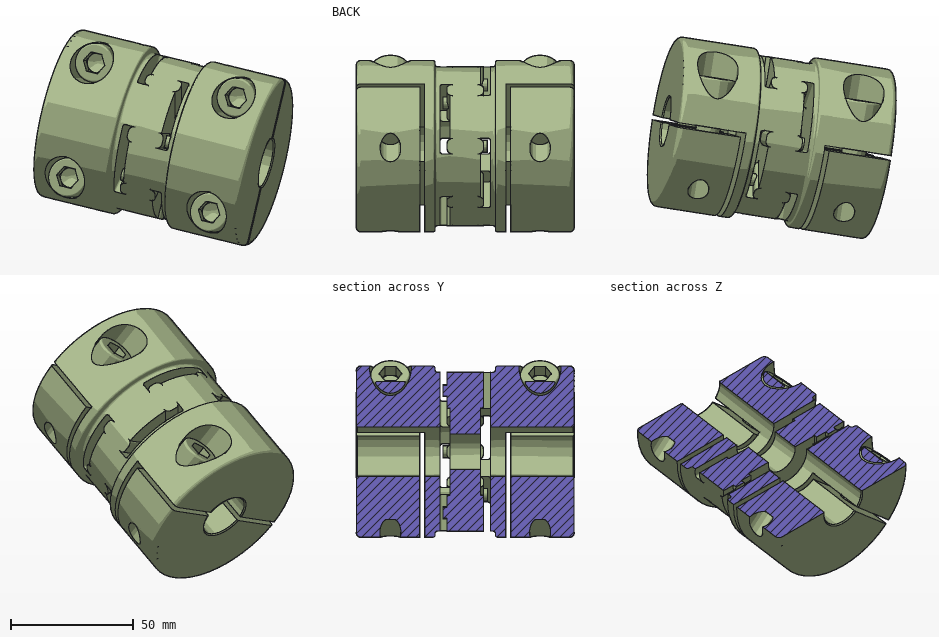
import cadquery as cq
import math

length = 89.0
mid_x = length / 2
hub_dia = 70.0
hub_length = 32.2
middle_dia = 65.0
rim_fillet = 2.0
shoulder_fillet = 0.9
hub_bore = 20.0
bore_chamfer = 0.5
middle_bore = 14.5

clamp_tilt = 45.0
slit_width = 2.0
cap_length = 26.0
cross_cut_width = 2.0

screw_x = 14.0
screw_offset = 24.0
screw_dia = 10.0
clearance_dia = 10.4
thread_core_dia = 8.4
pocket_dia = 17.0
head_dia = 16.0
head_top = 21.0
head_height = screw_dia
head_fillet = 0.9
screw_length = 30.0
socket_flats = 8.0
socket_depth = 5.0
socket_tip_depth = 2.0
head_seat = head_top - head_height

gap_start = 34.3
boss_face = 37.0
window_floor = 38.3
boss_width = 6.3
boss_band = (-boss_width / 2, boss_width / 2)
boss_fillet = 2.2
boss_base = boss_face + boss_fillet
gap_corner = 1.0
cavity_dia = 35.6
slot_inner_radius = 16.9
pin_dia = 5.0
pin_circle_radius = 24.9
pin_start = 35.4
window_pitch = 90
window_angle = 45

cut_reach = hub_dia


def cylinder_x(diameter, start, end):
    """Cylinder along the shaft axis."""
    return cq.Workplane("YZ", origin=(start, 0, 0)).circle(diameter / 2).extrude(end - start)


def box_between(x_range, y_range, z_range):
    """Box given by its limits along each axis."""
    size = [high - low for low, high in (x_range, y_range, z_range)]
    corner = (x_range[0], y_range[0], z_range[0])
    return cq.Workplane("XY").box(*size, centered=False).translate(corner)


def turn(shape, angle):
    """Rotate about the shaft axis."""
    return shape.rotate((0, 0, 0), (1, 0, 0), angle)


def to_far_end(shape):
    """Mirror a feature of the near half to the far half."""
    return shape.mirror("YZ", (mid_x, 0, 0))


def turned_blank():
    """Outer body with a bore in each hub and a smaller one in the middle."""
    body = cylinder_x(hub_dia, 0, length)
    waste = cylinder_x(2 * hub_dia, hub_length, length - hub_length)
    body = body.cut(waste.cut(cylinder_x(middle_dia, hub_length, length - hub_length)))
    ends = "<X or >X"
    shoulders = "<X[1] or >X[1]"
    body = body.faces(ends).edges().fillet(rim_fillet)
    body = body.faces("|X").faces(shoulders).edges().fillet(shoulder_fillet)
    hub_hole = cylinder_x(hub_bore, 0, gap_start)
    body = body.cut(hub_hole).cut(to_far_end(hub_hole)).cut(cylinder_x(middle_bore, 0, length))
    return body.faces(ends).edges(cq.selectors.RadiusNthSelector(0)).chamfer(bore_chamfer)


def screw_cylinder(diameter, offset, bottom, top):
    """Cylinder on a screw axis, in the untilted clamp (slit in the XY plane)."""
    base = cq.Workplane("XY", origin=(screw_x, offset, bottom))
    return base.circle(diameter / 2).extrude(top - bottom)


def clamp_cuts():
    """Slit, cross cut and screw holes of the near hub."""
    half_slit = slit_width / 2
    across = (-cut_reach, cut_reach)
    cuts = box_between((0, cap_length), across, (-half_slit, half_slit))
    cross_range = (cap_length, cap_length + cross_cut_width)
    cuts = cuts.union(box_between(cross_range, across, (-cut_reach, half_slit)))
    for offset in (-screw_offset, screw_offset):
        cuts = cuts.union(screw_cylinder(pocket_dia, offset, head_seat, cut_reach))
        cuts = cuts.union(screw_cylinder(clearance_dia, offset, 0, head_seat))
        cuts = cuts.union(screw_cylinder(thread_core_dia, offset, -cut_reach, 0))
    return turn(cuts, clamp_tilt)


def screw(offset):
    """Socket head screw with a hexagon socket that ends in a cone."""
    shank = screw_cylinder(screw_dia, offset, head_seat - screw_length, head_seat)
    head = screw_cylinder(head_dia, offset, head_seat, head_top)
    head = head.faces(">Z").edges().fillet(head_fillet)
    socket_floor = head_top - socket_depth
    hexagon_dia = socket_flats / math.cos(math.pi / 6)
    socket = cq.Workplane("XY", origin=(screw_x, offset, socket_floor))
    socket = socket.polygon(6, hexagon_dia).extrude(socket_depth)
    tip_base = cq.Vector(screw_x, offset, socket_floor)
    tip = cq.Solid.makeCone(socket_flats / 2, 0, socket_tip_depth, tip_base, cq.Vector(0, 0, -1))
    return shank.union(head).cut(socket).cut(cq.Workplane(tip))


def clamp_screws():
    """Both screws of the near hub."""
    screws = screw(-screw_offset).union(screw(screw_offset))
    return turn(screws, clamp_tilt)


def gap_boss():
    """Radial boss with two rounded edges, standing on the middle body."""
    radial_range = (0, cut_reach + boss_width)
    boss = box_between((boss_face, mid_x), radial_range, boss_band)
    return boss.edges("<X and |Y").fillet(boss_fillet)


def window():
    """One window of the near gap, with a boss left standing at each end."""
    slot = box_between((gap_start, boss_base), (slot_inner_radius, cut_reach), boss_band)
    slot = slot.edges("<X and |Y").fillet(gap_corner)
    far_edge = cut_reach * math.tan(math.radians(window_angle))
    sector = cq.Workplane("YZ", origin=(gap_start, 0, 0))
    sector = sector.polyline([(0, 0), (cut_reach, 0), (cut_reach, far_edge)]).close()
    sector = sector.extrude(window_floor - gap_start)
    opening = slot.union(turn(slot, window_angle)).union(sector)
    opening = opening.cut(gap_boss()).cut(turn(gap_boss(), window_angle))
    return turn(opening, -window_angle)


def gap_cut():
    """Central cavity and four windows of the near gap."""
    opening = window()
    cut = cylinder_x(cavity_dia, gap_start, window_floor)
    for angle in range(0, 360, window_pitch):
        cut = cut.union(turn(opening, angle))
    return cut


def gap_pins():
    """Four short pins, one on every second boss of the near gap."""
    pin = cylinder_x(pin_dia, pin_start, mid_x)
    pin = pin.translate((0, pin_circle_radius, 0))
    pins = pin
    for angle in range(window_pitch, 360, window_pitch):
        pins = pins.union(turn(pin, angle))
    return pins


near_cuts = clamp_cuts()
near_screws = clamp_screws()
near_gap = gap_cut()
near_pins = gap_pins()

result = turned_blank()
result = result.cut(near_cuts).cut(to_far_end(near_cuts))

result = result.cut(near_gap).cut(turn(to_far_end(near_gap), window_angle))
result = result.union(near_pins).union(turn(to_far_end(near_pins), window_angle))

result = result.union(near_screws).union(to_far_end(near_screws))